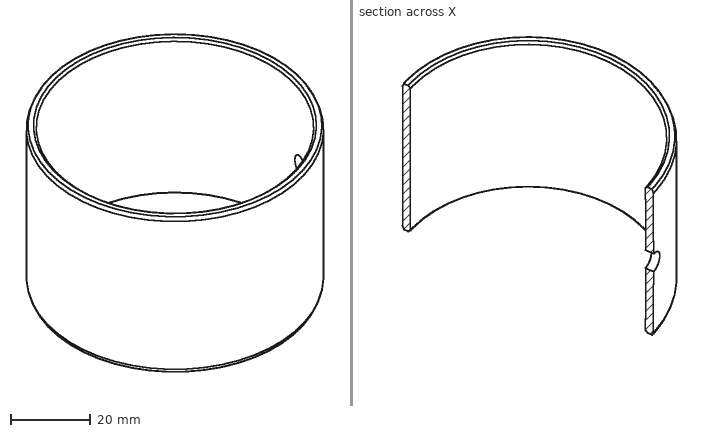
import cadquery as cq
import math

outer_diameter = 75.0
wall = 2.5
length = 50.0

lead_in_height = 1.2
lead_in_angle = 20.0
bore_chamfer = 0.7

oil_hole_diameter = 6.0

outer_radius = outer_diameter / 2
bore_radius = outer_radius - wall
half_length = length / 2
lead_in_depth = lead_in_height * math.tan(math.radians(lead_in_angle))


def make_sleeve():
    """Revolve the wall section, with its four chamfered corners, about Z."""
    section = [
        (bore_radius, -half_length + bore_chamfer),
        (bore_radius + bore_chamfer, -half_length),
        (outer_radius - lead_in_depth, -half_length),
        (outer_radius, -half_length + lead_in_height),
        (outer_radius, half_length - lead_in_height),
        (outer_radius - lead_in_depth, half_length),
        (bore_radius + bore_chamfer, half_length),
        (bore_radius, half_length - bore_chamfer),
    ]
    return cq.Workplane("XZ").polyline(section).close().revolve(360, (0, 0, 0), (0, 1, 0))


def make_oil_hole():
    """Cylinder from the bushing axis out past the +Y wall."""
    return cq.Workplane("XZ").circle(oil_hole_diameter / 2).extrude(-outer_diameter)


result = make_sleeve().cut(make_oil_hole())